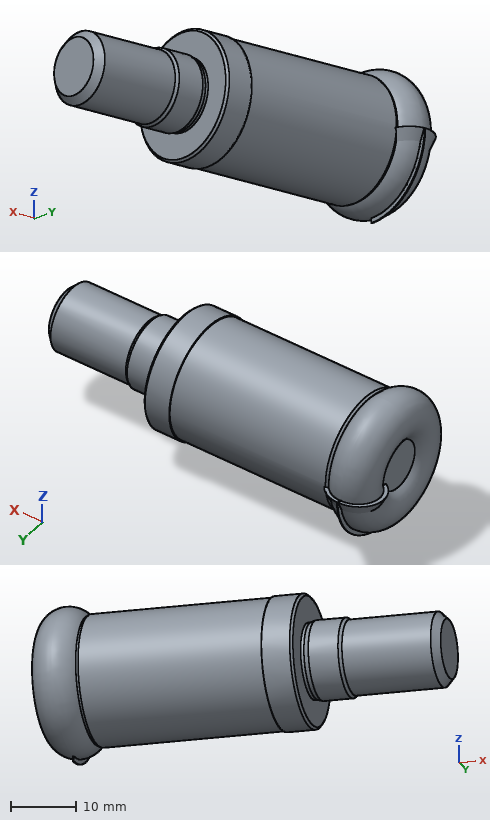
import cadquery as cq
import math

ring_radius = 7.6
ring_section_radius = 4.15
head_x = 4.95
recess_radius = 4.3

body_start_x = 8.3
body_lead_in = 0.45
body_lead_in_depth = 0.25
body_radius = 20.6 / 2
collar_start_x = 38.1
collar_end_x = 43.0
collar_radius = 21.0 / 2
collar_chamfer = 0.4
neck_end_x = 43.55
neck_radius = 6.0
pilot_start_x = 44.3
pilot_end_x = 49.05
pilot_radius = 12.5 / 2
pilot_taper_length = 0.5
shank_radius = 11.75 / 2
shank_end_x = 65.0
shank_chamfer = 1.25

tooth_section_radius = head_x
tooth_outer_radius = ring_radius + tooth_section_radius
tooth_start_angle = 6.6
tooth_end_angle = 21.0
tooth_tail_radius = 4.0
tooth_face_tilt = 13.5

fin_thickness = 0.2
fin_start_angle = 1.5
fin_end_angle = 90.0


def make_body():
    """Head core, body, collar, neck, pilot and shank in one turned profile."""
    recess_depth = math.sqrt(ring_section_radius**2 - (ring_radius - recess_radius) ** 2)
    disc_x = head_x - recess_depth
    profile = [
        (disc_x, 0),
        (disc_x, recess_radius),
        (head_x, ring_radius),
        (body_start_x, ring_radius),
        (body_start_x, body_radius - body_lead_in_depth),
        (body_start_x + body_lead_in, body_radius),
        (collar_start_x, body_radius),
        (collar_start_x, collar_radius),
        (collar_end_x - collar_chamfer, collar_radius),
        (collar_end_x, collar_radius - collar_chamfer),
        (collar_end_x, neck_radius),
        (neck_end_x, neck_radius),
        (pilot_start_x, pilot_radius),
        (pilot_end_x, pilot_radius),
        (pilot_end_x + pilot_taper_length, shank_radius),
        (shank_end_x - shank_chamfer, shank_radius),
        (shank_end_x, shank_radius - shank_chamfer),
        (shank_end_x, 0),
    ]
    return cq.Workplane("XY").polyline(profile).close().revolve(360, (0, 0, 0), (1, 0, 0))


def make_ring():
    """Full torus forming the rounded head."""
    return cq.Workplane("XY").add(
        cq.Solid.makeTorus(ring_radius, ring_section_radius, cq.Vector(head_x, 0, 0), cq.Vector(1, 0, 0))
    )


def tooth_section(angle_degrees, radius):
    """Circle centred on the head ring, turned below the head's horizontal plane."""
    angle = math.radians(angle_degrees)
    inward = math.radians(angle_degrees - tooth_face_tilt)
    centre = cq.Vector(head_x, ring_radius * math.cos(angle), -ring_radius * math.sin(angle))
    normal = cq.Vector(0, -math.sin(inward), -math.cos(inward))
    return cq.Wire.makeCircle(radius, centre, normal)


def make_tooth():
    """Round cutting face tapering back until it sinks into the head."""
    face = tooth_section(tooth_start_angle, tooth_section_radius)
    tail = tooth_section(tooth_end_angle, tooth_tail_radius)
    return cq.Workplane("XY").add(cq.Solid.makeLoft([face, tail], True))


def make_fin():
    """Thin sector centred on the widest section of the head."""
    def rim_point(angle_degrees):
        angle = math.radians(angle_degrees)
        return (tooth_outer_radius * math.cos(angle), -tooth_outer_radius * math.sin(angle))

    middle_angle = (fin_start_angle + fin_end_angle) / 2
    return (
        cq.Workplane("YZ", origin=(head_x - fin_thickness / 2, 0, 0))
        .moveTo(0, 0)
        .lineTo(*rim_point(fin_start_angle))
        .threePointArc(rim_point(middle_angle), rim_point(fin_end_angle))
        .close()
        .extrude(fin_thickness)
    )


result = make_body().union(make_ring()).union(make_tooth()).union(make_fin())